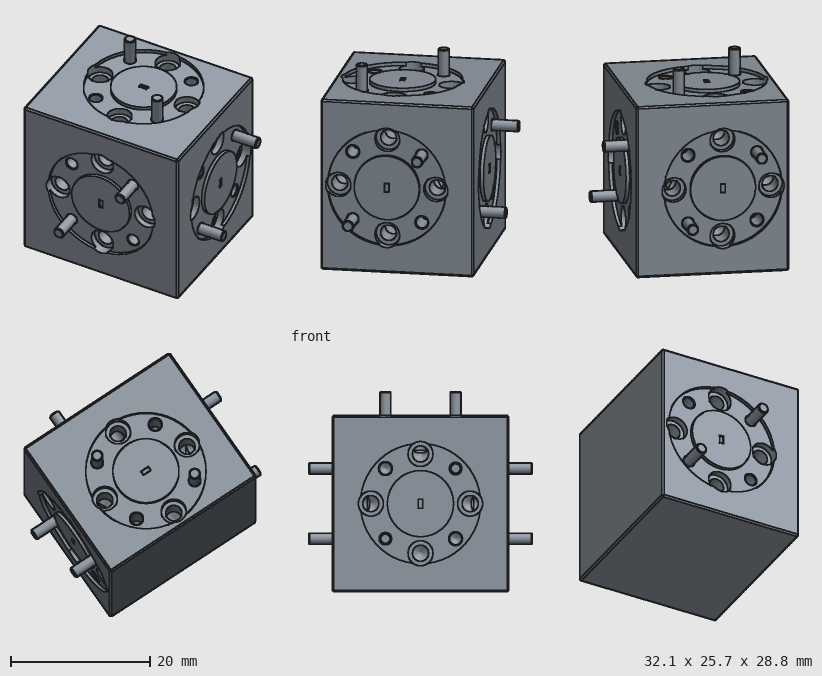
import cadquery as cq
import math

port_distance = 12.7
back_distance = 9.65
edge_chamfer = 0.25

recess_radius = 8.65
boss_radius = 4.75
recess_depth = 0.5
bolt_circle_radius = 7.13

waveguide_width = 1.3
waveguide_height = 0.65
waveguide_depth = 0.25

counterbore_radius = 1.8
counterbore_depth = 1.5
screw_hole_radius = 1.15
screw_hole_depth = 5.05
front_screw_hole_depth = 5.6
drill_tip_angle = 118.0

guide_hole_radius = 0.87
guide_hole_depth = 5.05
guide_mouth_chamfer = 0.13
pin_radius = 0.8
pin_protrusion = 3.37
pin_end_chamfer = 0.13
pin_hole_depth = 5.05
pin_mouth_chamfer = 0.1

FRONT = ((0, -1, 0), (1, 0, 0))
LEFT = ((-1, 0, 0), (0, -1, 0))
RIGHT = ((1, 0, 0), (0, 1, 0))
TOP = ((0, 0, 1), (0, -1, 0))
PORTS = (FRONT, LEFT, RIGHT, TOP)

SCREW_ANGLES = (0, 90, 180, 270)
GUIDE_ANGLES = (135, 315)
PIN_ANGLES = (45, 225)


def port_plane(port):
    """Plane on the port face: local X along the short waveguide side, local Z outward."""
    normal, short_side = port
    origin = tuple(port_distance * component for component in normal)
    return cq.Plane(origin=origin, xDir=short_side, normal=normal)


def bolt_circle_points(angles):
    """Points on the bolt circle, at angles in degrees from the short waveguide side."""
    return [
        (
            bolt_circle_radius * math.cos(math.radians(angle)),
            bolt_circle_radius * math.sin(math.radians(angle)),
        )
        for angle in angles
    ]


def drilled_hole(radius, depth):
    """Cutter for a blind hole with a conical tip, its mouth at the origin and its axis along -Z."""
    tip_length = radius / math.tan(math.radians(drill_tip_angle / 2))
    profile = (
        cq.Workplane("XZ")
        .polyline([(0, 0), (radius, 0), (radius, -depth), (0, -depth - tip_length)])
        .close()
    )
    return profile.revolve(360, (0, 0), (0, 1))


def mouth_cone(radius, chamfer):
    """Cutter for the 45 degree chamfer of a hole that opens on the recess floor."""
    small_end = cq.Vector(0, 0, -recess_depth - chamfer)
    cone = cq.Solid.makeCone(radius, radius + chamfer, chamfer, small_end)
    return cq.Workplane(obj=cone)


def pin_blank():
    """Pin standing on the bottom of its hole, with its outer end chamfered."""
    return (
        cq.Workplane("XY")
        .workplane(offset=-pin_hole_depth)
        .circle(pin_radius)
        .extrude(pin_hole_depth + pin_protrusion)
        .faces(">Z")
        .chamfer(pin_end_chamfer)
        .solids()
    )


def port_cutters(port):
    """All shapes removed from the block at one port, in block coordinates."""
    recess = (
        cq.Workplane("XY")
        .circle(recess_radius)
        .circle(boss_radius)
        .extrude(-recess_depth)
    )
    waveguide_opening = (
        cq.Workplane("XY")
        .rect(waveguide_height, waveguide_width)
        .extrude(-waveguide_depth)
    )
    cutters = [recess, waveguide_opening]

    screw_depth = front_screw_hole_depth if port is FRONT else screw_hole_depth
    counterbore = cq.Workplane("XY").circle(counterbore_radius).extrude(-counterbore_depth)
    screw_hole = drilled_hole(screw_hole_radius, screw_depth)
    for x, y in bolt_circle_points(SCREW_ANGLES):
        cutters.append(counterbore.translate((x, y, 0)))
        cutters.append(screw_hole.translate((x, y, 0)))

    guide_hole = drilled_hole(guide_hole_radius, guide_hole_depth)
    guide_mouth = mouth_cone(guide_hole_radius, guide_mouth_chamfer)
    for x, y in bolt_circle_points(GUIDE_ANGLES):
        cutters.append(guide_hole.translate((x, y, 0)))
        cutters.append(guide_mouth.translate((x, y, 0)))

    pin_hole = cq.Workplane("XY").circle(pin_radius).extrude(-pin_hole_depth)
    pin_mouth = mouth_cone(pin_radius, pin_mouth_chamfer)
    for x, y in bolt_circle_points(PIN_ANGLES):
        cutters.append(pin_hole.translate((x, y, 0)))
        cutters.append(pin_mouth.translate((x, y, 0)))

    plane = port_plane(port)
    return [cutter.val().moved(plane.location) for cutter in cutters]


def make_housing():
    """Chamfered block with the flange pattern cut into each port face."""
    block = (
        cq.Workplane("XY")
        .box(2 * port_distance, port_distance + back_distance, 2 * port_distance)
        .translate((0, (back_distance - port_distance) / 2, 0))
        .edges()
        .chamfer(edge_chamfer)
    )
    for port in PORTS:
        for cutter in port_cutters(port):
            block = block.cut(cq.Workplane(obj=cutter))
    return block.solids()


def make_pins():
    """Two pins per port, each filling its hole and standing out of the port face."""
    pins = []
    for port in PORTS:
        location = port_plane(port).location
        for x, y in bolt_circle_points(PIN_ANGLES):
            pins.append(pin_blank().translate((x, y, 0)).val().moved(location))
    return pins


housing = make_housing()
pins = make_pins()

result = cq.Compound.makeCompound([housing.val(), *pins])